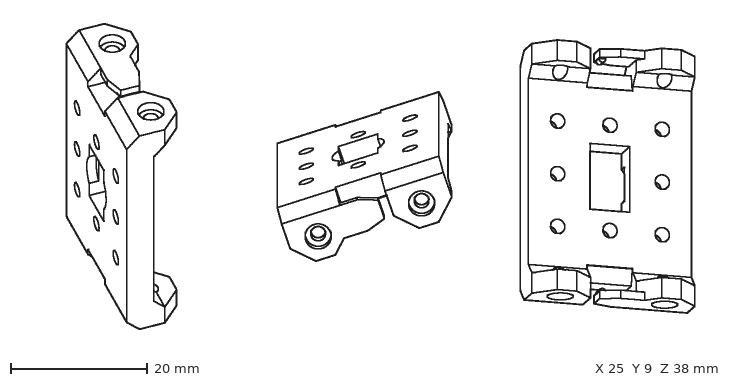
import cadquery as cq

WIDTH = 25.0
DEPTH = 9.0
HEIGHT = 38.0

PLATE_THICKNESS = 4.3
LUG_HEIGHT = 3.1
FRONT_CHAMFER = 2.0
SHOULDER_Y = 6.0
WEB_CHAMFER = SHOULDER_Y - PLATE_THICKNESS
LUG_CHAMFER = DEPTH - SHOULDER_Y

LUG_WIDTH = 9.0
NOTCH_DEPTH = 3.0
LEDGE_FRONT_Y = 3.5
LEDGE_BACK_Y = 4.0
LEDGE_DROP = 2.47

ARM_LENGTH = 5.6
ARM_THICKNESS = 1.25
ARM_BACK_Y = 7.0
ARM_FRONT_Y = FRONT_CHAMFER
ARM_TAPER_LENGTH = 2.9
ARM_TAPER_DEPTH = 1.0
BUMP_RADIUS = 0.55
BUMP_TIP_OFFSET = 0.6
BUMP_LENGTH = 1.6

GRID_PITCH = 8.0
GRID_HOLE_DIAMETER = 2.15
LUG_HOLE_Y = 5.5
LUG_HOLE_DIAMETER = 2.15
COUNTERBORE_DIAMETER = 3.85
COUNTERBORE_DEPTH = 1.4
WINDOW_WIDTH = 6.08
WINDOW_HEIGHT = 10.0
RECESS_DIAMETER = 8.0
RECESS_DEPTH = 1.5

LEFT = -WIDTH / 2
RIGHT = WIDTH / 2
TOP = HEIGHT / 2
NOTCH_LEFT = LEFT + LUG_WIDTH
NOTCH_RIGHT = RIGHT - LUG_WIDTH
NOTCH_FLOOR_Z = TOP - NOTCH_DEPTH
LUG_BOTTOM_Z = TOP - LUG_HEIGHT


def with_mirror_below(upper):
    """Add the copy of an upper-end solid at the lower end."""
    return upper.union(upper.mirror("XY"))


def side_profile_prism():
    """Full-width C shape: plate, 45 degree webs and lugs bent to the back."""
    upper_half = [
        (0, TOP - FRONT_CHAMFER),
        (FRONT_CHAMFER, TOP),
        (DEPTH, TOP),
        (DEPTH, LUG_BOTTOM_Z),
        (SHOULDER_Y, LUG_BOTTOM_Z),
        (PLATE_THICKNESS, LUG_BOTTOM_Z - WEB_CHAMFER),
    ]
    lower_half = [(y, -z) for y, z in reversed(upper_half)]
    profile = cq.Workplane("YZ").polyline(upper_half + lower_half).close()
    return profile.extrude(WIDTH / 2, both=True)


def lug_corner_cut():
    """Corners removed from the back of one lug at the right, over the full height."""
    return (
        cq.Workplane("XY")
        .polyline([(RIGHT, SHOULDER_Y), (RIGHT, DEPTH), (RIGHT - LUG_CHAMFER, DEPTH)])
        .close()
        .polyline([
            (NOTCH_RIGHT, SHOULDER_Y),
            (NOTCH_RIGHT, DEPTH),
            (NOTCH_RIGHT + LUG_CHAMFER, DEPTH),
        ])
        .close()
        .extrude(HEIGHT / 2, both=True)
    )


def notch_cut():
    """Space between the upper lugs, with a steep slope and a narrow ledge behind the floor."""
    ledge_z = NOTCH_FLOOR_Z - LEDGE_DROP
    profile = [
        (0, TOP),
        (0, NOTCH_FLOOR_Z),
        (LEDGE_FRONT_Y, NOTCH_FLOOR_Z),
        (LEDGE_BACK_Y, ledge_z),
        (PLATE_THICKNESS, ledge_z),
        (PLATE_THICKNESS, LUG_BOTTOM_Z - WEB_CHAMFER),
        (DEPTH, LUG_BOTTOM_Z - WEB_CHAMFER),
        (DEPTH, TOP),
    ]
    return (
        cq.Workplane("YZ", origin=(NOTCH_LEFT, 0, 0))
        .polyline(profile)
        .close()
        .extrude(NOTCH_RIGHT - NOTCH_LEFT)
    )


def latch_arm():
    """Tapered upper latch arm with a half-round bump under its tip."""
    tip_x = NOTCH_LEFT + ARM_LENGTH
    taper_x = tip_x - ARM_TAPER_LENGTH
    root_x = NOTCH_LEFT - LUG_CHAMFER
    outline = [
        (root_x, ARM_FRONT_Y),
        (taper_x, ARM_FRONT_Y),
        (tip_x, ARM_FRONT_Y + ARM_TAPER_DEPTH),
        (tip_x, ARM_BACK_Y - ARM_TAPER_DEPTH),
        (taper_x, ARM_BACK_Y),
        (root_x, ARM_BACK_Y),
    ]
    arm_underside_z = TOP - ARM_THICKNESS
    arm = (
        cq.Workplane("XY", origin=(0, 0, arm_underside_z))
        .polyline(outline)
        .close()
        .extrude(ARM_THICKNESS)
    )
    bump_centre = (tip_x - BUMP_TIP_OFFSET, (ARM_FRONT_Y + ARM_BACK_Y) / 2, arm_underside_z)
    bump = (
        cq.Workplane("XZ", origin=bump_centre)
        .circle(BUMP_RADIUS)
        .extrude(BUMP_LENGTH / 2, both=True)
    )
    return arm.union(bump)


def lug_holes():
    """Counterbored vertical holes through the upper lugs and the webs under them."""
    centres = [(LEFT + LUG_WIDTH / 2, LUG_HOLE_Y), (RIGHT - LUG_WIDTH / 2, LUG_HOLE_Y)]
    plane = cq.Workplane("XY", origin=(0, 0, TOP)).pushPoints(centres)
    through = plane.circle(LUG_HOLE_DIAMETER / 2).extrude(-LUG_HEIGHT - WEB_CHAMFER)
    counterbore = plane.circle(COUNTERBORE_DIAMETER / 2).extrude(-COUNTERBORE_DEPTH)
    return through.union(counterbore)


def mounting_holes():
    """Three by three grid of holes through the plate; the window takes the middle one."""
    grid = cq.Workplane("XZ").rarray(GRID_PITCH, GRID_PITCH, 3, 3)
    return grid.circle(GRID_HOLE_DIAMETER / 2).extrude(-PLATE_THICKNESS)


def window():
    """Rectangular opening with a shallow round recess in the front face."""
    opening = cq.Workplane("XZ").rect(WINDOW_WIDTH, WINDOW_HEIGHT).extrude(-PLATE_THICKNESS)
    recess = cq.Workplane("XZ").circle(RECESS_DIAMETER / 2).extrude(-RECESS_DEPTH)
    return opening.union(recess)


right_corners = lug_corner_cut()
result = (
    side_profile_prism()
    .cut(right_corners)
    .cut(right_corners.mirror("YZ"))
    .cut(with_mirror_below(notch_cut()))
    .union(with_mirror_below(latch_arm()))
    .cut(with_mirror_below(lug_holes()))
    .cut(mounting_holes())
    .cut(window())
)